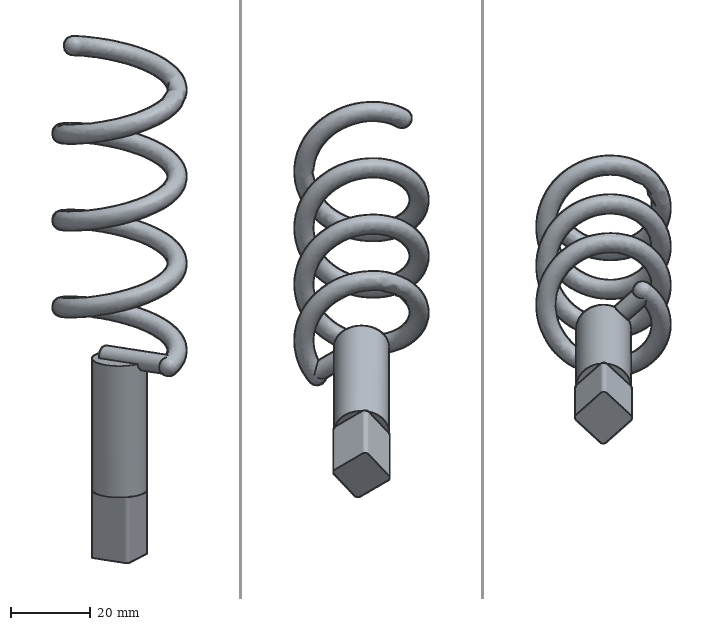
import cadquery as cq
import math

overall_height = 133.9

tang_width = 10.8
tang_flat_width = 8.7
tang_height = 17.3
shank_diameter = 13.9
shank_top = 51.8

wire_diameter = 5.0
wire_radius = wire_diameter / 2
arm_height = 52.1
arm_inner_x = -5.1
arm_fillet = 1.2

coil_outer_diameter = 34.0
coil_radius = (coil_outer_diameter - wire_diameter) / 2
end_rise = 0.5
coil_rise = overall_height - arm_height - wire_radius + end_rise
coil_turns = 3.5
coil_pitch = coil_rise / coil_turns
overrun_length = 3.1
lower_tip_fillet = 2.3
upper_tip_fillet = 2.1


def make_shank():
    corner_radius = (tang_width - tang_flat_width) / 2
    tang = cq.Workplane("XY").rect(tang_width, tang_width).extrude(tang_height)
    tang = tang.edges("|Z").fillet(corner_radius)
    body = cq.Workplane("XY", origin=(0, 0, tang_height))
    body = body.circle(shank_diameter / 2).extrude(shank_top - tang_height)
    return tang.union(body)


def make_arm():
    arm = cq.Workplane("YZ", origin=(arm_inner_x, 0, arm_height))
    arm = arm.circle(wire_radius).extrude(coil_radius - arm_inner_x)
    return arm.faces("<X").edges().fillet(arm_fillet)


def make_coil():
    overrun_turns = overrun_length / (2 * math.pi * coil_radius)
    overrun_drop = overrun_turns * coil_pitch
    height = coil_rise + overrun_drop
    path = cq.Wire.makeHelix(coil_pitch, height, coil_radius)
    slope = coil_pitch / (2 * math.pi * coil_radius)
    start = cq.Vector(coil_radius, 0, 0)
    section = cq.Plane(origin=start, xDir=(1, 0, 0), normal=(0, 1, slope))
    coil = cq.Workplane(section).circle(wire_radius).sweep(path, isFrenet=True)

    end_angle = 2 * math.pi * (coil_turns + overrun_turns)
    end = (coil_radius * math.cos(end_angle), coil_radius * math.sin(end_angle), height)
    for tip, fillet in ((start.toTuple(), lower_tip_fillet), (end, upper_tip_fillet)):
        coil = coil.faces("%PLANE").faces(cq.NearestToPointSelector(tip)).edges().fillet(fillet)

    coil = coil.rotate((0, 0, 0), (0, 0, 1), -360 * overrun_turns)
    return coil.translate((0, 0, arm_height - overrun_drop))


result = make_shank().union(make_arm()).union(make_coil())